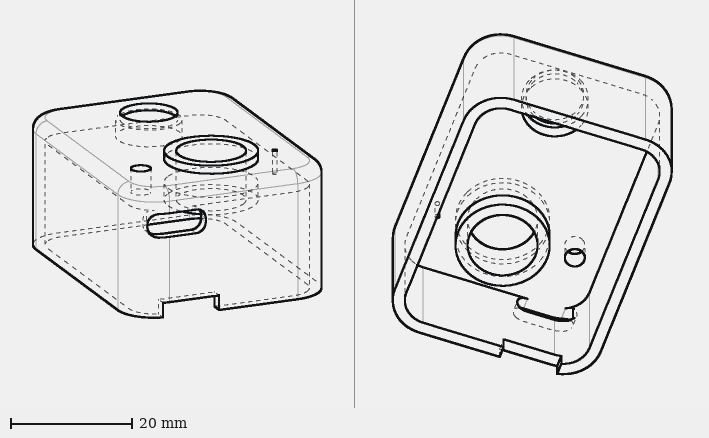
import cadquery as cq

LENGTH = 47.16
WIDTH = 35.95
BODY_HEIGHT = 22.1
CORNER_RADIUS = 6.5
TOP_EDGE_RADIUS = 2.0
WALL = 2.0
CEILING_Z = 18.0

LENS_X = 11.6
LENS_Y = 1.1
LENS_BORE = 11.53
LENS_TUBE_DIAMETER = LENS_BORE + 2 * WALL
LENS_TOP_Z = 23.5
LENS_TUBE_BOTTOM_Z = 15.0

WINDOW_X = -14.4
WINDOW_DIAMETER = 9.5
WINDOW_LIP = 1.2
WINDOW_RECESS_DIAMETER = 11.0

LED_DIAMETER = 3.3
LED_OFFSET = 12.6
PINHOLE_DIAMETER = 0.75
PINHOLE_OFFSET = 11.4

PORT_LENGTH = 10.0
PORT_HEIGHT = 4.1
PORT_CORNER_RADIUS = 1.75
PORT_START_Y = -15.0

NOTCH_START_Y = -12.6
NOTCH_LENGTH = 10.0
NOTCH_HEIGHT = 2.54

WALL_CUT_DEPTH = 3 * WALL


def rounded_box(length, width, height, radius):
    """Box on the XY plane with rounded vertical edges."""
    return cq.Workplane("XY").box(length, width, height, centered=(True, True, False)).edges("|Z").fillet(radius)


def cylinder(x, y, diameter, bottom_z, top_z):
    """Vertical cylinder between two heights."""
    return cq.Workplane("XY", origin=(x, y, bottom_z)).circle(diameter / 2).extrude(top_z - bottom_z)


def wall_cutter(length, height, center_y, center_z):
    """Block that cuts a rectangular opening through the +X wall."""
    center = (LENGTH / 2, center_y, center_z)
    return cq.Workplane("XY").box(WALL_CUT_DEPTH, length, height).translate(center)


def make_shell():
    outside = rounded_box(LENGTH, WIDTH, BODY_HEIGHT, CORNER_RADIUS)
    outside = outside.faces(">Z").edges().fillet(TOP_EDGE_RADIUS)
    cavity = rounded_box(LENGTH - 2 * WALL, WIDTH - 2 * WALL, CEILING_Z, CORNER_RADIUS - WALL)
    return outside.cut(cavity)


def add_lens_tube(part):
    tube = cylinder(LENS_X, LENS_Y, LENS_TUBE_DIAMETER, LENS_TUBE_BOTTOM_Z, LENS_TOP_Z)
    bore = cylinder(LENS_X, LENS_Y, LENS_BORE, LENS_TUBE_BOTTOM_Z, LENS_TOP_Z)
    return part.union(tube).cut(bore)


def cut_window(part):
    hole = cylinder(WINDOW_X, LENS_Y, WINDOW_DIAMETER, CEILING_Z, BODY_HEIGHT)
    recess = cylinder(WINDOW_X, LENS_Y, WINDOW_RECESS_DIAMETER, CEILING_Z, BODY_HEIGHT - WINDOW_LIP)
    return part.cut(hole).cut(recess)


def cut_small_holes(part):
    led = cylinder(LENS_X, LENS_Y - LED_OFFSET, LED_DIAMETER, CEILING_Z, BODY_HEIGHT)
    pinhole = cylinder(LENS_X, LENS_Y + PINHOLE_OFFSET, PINHOLE_DIAMETER, CEILING_Z, BODY_HEIGHT)
    return part.cut(led).cut(pinhole)


def cut_port(part):
    center_y = PORT_START_Y + PORT_LENGTH / 2
    center_z = CEILING_Z - PORT_HEIGHT / 2
    port = wall_cutter(PORT_LENGTH, PORT_HEIGHT, center_y, center_z)
    return part.cut(port.edges("|X").fillet(PORT_CORNER_RADIUS))


def cut_notch(part):
    return part.cut(wall_cutter(NOTCH_LENGTH, NOTCH_HEIGHT, NOTCH_START_Y + NOTCH_LENGTH / 2, NOTCH_HEIGHT / 2))


result = make_shell()
result = add_lens_tube(result)
result = cut_window(result)
result = cut_small_holes(result)
result = cut_port(result)
result = cut_notch(result)